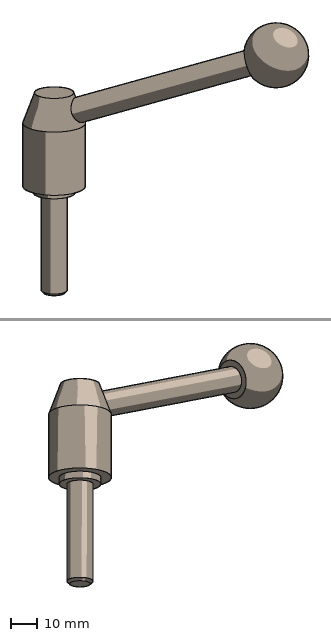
import cadquery as cq
import math

total_height = 115.0
hub_diameter = 24.0
hub_base_height = 42.6
hub_shoulder_height = 67.9
hub_top_height = 80.0
hub_top_diameter = 15.1

stem_diameter = 10.0
stem_chamfer = 1.0
collar_diameter = 16.0
collar_base_height = 40.0

arm_diameter = 10.0
arm_angle = 20.0
ball_diameter = 25.0
ball_flat_distance = 10.0
ball_center_x = 88.3
ball_center_z = total_height - ball_diameter / 2

arm_length = ball_center_x / math.cos(math.radians(arm_angle))


def make_body():
    """Turned stem, collar and hub with a tapered top."""
    stem_radius = stem_diameter / 2
    return (
        cq.Workplane("XZ")
        .moveTo(0, 0)
        .lineTo(stem_radius - stem_chamfer, 0)
        .lineTo(stem_radius, stem_chamfer)
        .lineTo(stem_radius, collar_base_height)
        .lineTo(collar_diameter / 2, collar_base_height)
        .lineTo(collar_diameter / 2, hub_base_height)
        .lineTo(hub_diameter / 2, hub_base_height)
        .lineTo(hub_diameter / 2, hub_shoulder_height)
        .lineTo(hub_top_diameter / 2, hub_top_height)
        .lineTo(0, hub_top_height)
        .close()
        .revolve(360, (0, 0, 0), (0, 1, 0))
    )


def make_handle():
    """Arm from the hub axis to the ball, whose near side is cut flat."""
    arm = cq.Workplane("YZ").circle(arm_diameter / 2).extrude(-arm_length)
    ball_radius = ball_diameter / 2
    flat_radius = math.sqrt(ball_radius**2 - ball_flat_distance**2)
    ball = (
        cq.Workplane("XY")
        .moveTo(-ball_flat_distance, 0)
        .lineTo(-ball_flat_distance, flat_radius)
        .threePointArc((0, ball_radius), (ball_radius, 0))
        .close()
        .revolve(360, (0, 0, 0), (1, 0, 0))
    )
    return (
        arm.union(ball)
        .rotate((0, 0, 0), (0, 1, 0), -arm_angle)
        .translate((ball_center_x, 0, ball_center_z))
    )


result = make_body().union(make_handle())